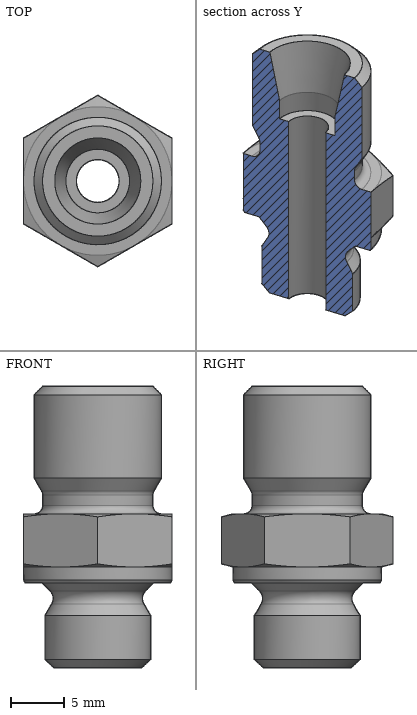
import cadquery as cq
import math

total_height = 26.5
flange_bottom = 8.0
hex_bottom = 9.5
hex_top = 14.5

across_flats = 14.0
flange_radius = across_flats / 2
corner_radius = flange_radius / math.cos(math.radians(30))
hex_chamfer_angle = math.radians(15)
flange_chamfer_height = 0.25
flange_chamfer_width = 0.13

lower_radius = 10.0 / 2
lower_tip_radius = 4.13
lower_chamfer_height = 0.8
lower_stud_top = 4.9
undercut_radius = 1.0
lower_neck_radius = 4.21
lower_cone_angle = math.radians(30)
flange_cone_angle = math.radians(45)

upper_radius = 12.0 / 2
upper_neck_radius = 10.4 / 2
upper_chamfer = upper_radius - upper_neck_radius
upper_stud_bottom = 17.85
neck_fillet = 0.8
upper_cone_angle = math.radians(30)

bore_diameter = 4.0
seat_radius = 6.0 / 2
cone_mouth_radius = 4.05
cone_half_angle = math.radians(12)
seat_depth = 7.0


def on_circle(center, radius, angle):
    """Profile point at an angle (radians) from the outward radial direction."""
    return (center[0] + radius * math.cos(angle), center[1] + radius * math.sin(angle))


def revolve_profile(profile):
    return profile.close().revolve(360, (0, 0, 0), (0, 1, 0))


def make_turned_body():
    undercut_x = lower_neck_radius + undercut_radius
    undercut_start_x = undercut_x - undercut_radius * math.cos(lower_cone_angle)
    lower_cone_height = (lower_radius - undercut_start_x) / math.tan(lower_cone_angle)
    undercut_z = lower_stud_top + lower_cone_height + undercut_radius * math.sin(lower_cone_angle)
    undercut_center = (undercut_x, undercut_z)
    undercut_start = on_circle(undercut_center, undercut_radius, math.pi + lower_cone_angle)
    undercut_middle = on_circle(undercut_center, undercut_radius, math.pi)
    undercut_end = on_circle(undercut_center, undercut_radius, math.pi - flange_cone_angle)
    flange_cone_rise = flange_bottom - undercut_end[1]
    flange_cone_radius = undercut_end[0] + flange_cone_rise * math.tan(flange_cone_angle)

    fillet_x = upper_neck_radius + neck_fillet
    base_center = (fillet_x, hex_top + neck_fillet)
    cone_start_x = fillet_x - neck_fillet * math.cos(upper_cone_angle)
    upper_cone_height = (upper_radius - cone_start_x) / math.tan(upper_cone_angle)
    upper_fillet_z = upper_stud_bottom - upper_cone_height - neck_fillet * math.sin(upper_cone_angle)
    upper_center = (fillet_x, upper_fillet_z)

    profile = (
        cq.Workplane("XZ")
        .lineTo(lower_tip_radius, 0)
        .lineTo(lower_radius, lower_chamfer_height)
        .lineTo(lower_radius, lower_stud_top)
        .lineTo(*undercut_start)
        .threePointArc(undercut_middle, undercut_end)
        .lineTo(flange_cone_radius, flange_bottom)
        .lineTo(flange_radius - flange_chamfer_width, flange_bottom)
        .lineTo(flange_radius, flange_bottom + flange_chamfer_height)
        .lineTo(flange_radius, hex_top)
        .lineTo(fillet_x, hex_top)
        .threePointArc(
            on_circle(base_center, neck_fillet, math.radians(225)),
            on_circle(base_center, neck_fillet, math.pi),
        )
        .lineTo(upper_neck_radius, upper_fillet_z)
        .threePointArc(
            on_circle(upper_center, neck_fillet, math.pi - upper_cone_angle / 2),
            on_circle(upper_center, neck_fillet, math.pi - upper_cone_angle),
        )
        .lineTo(upper_radius, upper_stud_bottom)
        .lineTo(upper_radius, total_height - upper_chamfer)
        .lineTo(upper_radius - upper_chamfer, total_height)
        .lineTo(0, total_height)
    )
    return revolve_profile(profile)


def make_hexagon():
    """Hexagon with corners on the Y axis, chamfered conically at both ends."""
    prism = (
        cq.Workplane("XY")
        .workplane(offset=hex_bottom)
        .polygon(6, 2 * corner_radius)
        .extrude(hex_top - hex_bottom)
        .rotate((0, 0, 0), (0, 0, 1), 30)
    )
    limit_radius = corner_radius + 0.26
    chamfer_drop = (limit_radius - flange_radius) * math.tan(hex_chamfer_angle)
    envelope = revolve_profile(
        cq.Workplane("XZ")
        .moveTo(0, hex_bottom)
        .lineTo(flange_radius, hex_bottom)
        .lineTo(limit_radius, hex_bottom + chamfer_drop)
        .lineTo(limit_radius, hex_top - chamfer_drop)
        .lineTo(flange_radius, hex_top)
        .lineTo(0, hex_top)
    )
    return prism.intersect(envelope)


def make_bore():
    through_hole = cq.Workplane("XY").circle(bore_diameter / 2).extrude(total_height)
    cone_depth = (cone_mouth_radius - seat_radius) / math.tan(cone_half_angle)
    seat = revolve_profile(
        cq.Workplane("XZ")
        .moveTo(0, total_height - seat_depth)
        .lineTo(seat_radius, total_height - seat_depth)
        .lineTo(seat_radius, total_height - cone_depth)
        .lineTo(cone_mouth_radius, total_height)
        .lineTo(0, total_height)
    )
    return through_hole.union(seat)


result = make_turned_body().union(make_hexagon()).cut(make_bore())